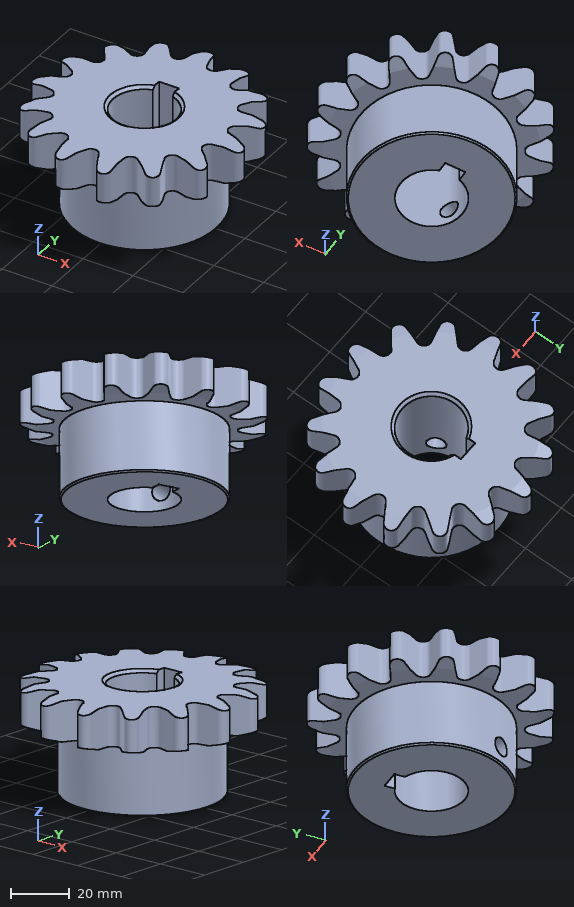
import cadquery as cq
import math

TOOTH_COUNT = 15
TIP_ROUND_RADIUS = 2.7
ROOT_ROUND_RADIUS = 2.7
OVERALL_WIDTH = 84.6
ROOT_RADIUS = 31.8
RIM_THICKNESS = 14.55
TIP_BEVEL_START_RADIUS = 37.1
TIP_BEVEL_DROP = 1.4

TOTAL_HEIGHT = 40.0
HUB_DIAMETER = 58.0
HUB_CHAMFER = 0.6

BORE_DIAMETER = 25.0
BORE_CHAMFER = 1.2
KEYWAY_WIDTH = 7.95
KEYWAY_REACH = 15.8

SCREW_HOLE_DIAMETER = 7.0
SCREW_HOLE_HEIGHT = 7.0
SCREW_HOLE_ANGLE = 210

FIRST_TOOTH_ANGLE = 90
TOOTH_PITCH_ANGLE = 360 / TOOTH_COUNT
RIM_BOTTOM = TOTAL_HEIGHT - RIM_THICKNESS
WIDEST_TOOTH_OFFSET = math.radians(TOOTH_PITCH_ANGLE / 4)
TIP_CENTER_RADIUS = (OVERALL_WIDTH / 2 - TIP_ROUND_RADIUS) / math.cos(WIDEST_TOOTH_OFFSET)
TIP_RADIUS = TIP_CENTER_RADIUS + TIP_ROUND_RADIUS
ROOT_CENTER_RADIUS = ROOT_RADIUS + ROOT_ROUND_RADIUS


def polar(radius, angle):
    """Point at a radius and an angle in degrees."""
    return (radius * math.cos(math.radians(angle)), radius * math.sin(math.radians(angle)))


def flank_ends():
    """Ends of the straight flank, for a tooth centred on +X and the gap on its +Y side.

    The flank is the crossing tangent of the tip circle and the root circle.
    """
    tip_x = TIP_CENTER_RADIUS
    root_x, root_y = polar(ROOT_CENTER_RADIUS, TOOTH_PITCH_ANGLE / 2)
    center_distance = math.hypot(root_x - tip_x, root_y)
    center_line_angle = math.atan2(root_y, root_x - tip_x)
    normal = center_line_angle - math.acos((TIP_ROUND_RADIUS + ROOT_ROUND_RADIUS) / center_distance)
    normal_x = math.cos(normal)
    normal_y = math.sin(normal)
    tip_end = (tip_x + TIP_ROUND_RADIUS * normal_x, TIP_ROUND_RADIUS * normal_y)
    root_end = (root_x - ROOT_ROUND_RADIUS * normal_x, root_y - ROOT_ROUND_RADIUS * normal_y)
    return tip_end, root_end


def tooth_outline():
    """Closed outline of all teeth: tip arc, flank, root arc and flank for each tooth."""
    tip_end, root_end = flank_ends()
    tip_end_radius = math.hypot(*tip_end)
    tip_end_angle = math.degrees(math.atan2(tip_end[1], tip_end[0]))
    root_end_radius = math.hypot(*root_end)
    root_end_angle = math.degrees(math.atan2(root_end[1], root_end[0]))

    outline = cq.Workplane("XY").moveTo(*polar(tip_end_radius, FIRST_TOOTH_ANGLE - tip_end_angle))
    for index in range(TOOTH_COUNT):
        tooth = FIRST_TOOTH_ANGLE + index * TOOTH_PITCH_ANGLE
        gap = tooth + TOOTH_PITCH_ANGLE / 2
        next_tooth = tooth + TOOTH_PITCH_ANGLE
        outline = outline.threePointArc(
            polar(TIP_RADIUS, tooth), polar(tip_end_radius, tooth + tip_end_angle)
        )
        outline = outline.lineTo(*polar(root_end_radius, tooth + root_end_angle))
        outline = outline.threePointArc(
            polar(ROOT_RADIUS, gap), polar(root_end_radius, next_tooth - root_end_angle)
        )
        if index < TOOTH_COUNT - 1:
            outline = outline.lineTo(*polar(tip_end_radius, next_tooth - tip_end_angle))
    return outline.close()


def toothed_rim():
    """Toothed disc whose teeth are bevelled by a cone on both faces."""
    teeth = tooth_outline().extrude(RIM_THICKNESS)
    bevelled_disc = (
        cq.Workplane("XZ")
        .polyline([
            (0, 0),
            (TIP_BEVEL_START_RADIUS, 0),
            (TIP_RADIUS, TIP_BEVEL_DROP),
            (TIP_RADIUS, RIM_THICKNESS - TIP_BEVEL_DROP),
            (TIP_BEVEL_START_RADIUS, RIM_THICKNESS),
            (0, RIM_THICKNESS),
        ])
        .close()
        .revolve(360, (0, 0, 0), (0, 1, 0))
    )
    return teeth.intersect(bevelled_disc).translate((0, 0, RIM_BOTTOM))


def hub():
    """Plain hub under the rim, chamfered at its free end and running up through the rim."""
    return cq.Workplane("XY").circle(HUB_DIAMETER / 2).extrude(TOTAL_HEIGHT).faces("<Z").chamfer(HUB_CHAMFER)


def bore():
    """Through bore, with a countersunk mouth on the rim face."""
    bore_radius = BORE_DIAMETER / 2
    return (
        cq.Workplane("XZ")
        .polyline([
            (0, 0),
            (bore_radius, 0),
            (bore_radius, TOTAL_HEIGHT - BORE_CHAMFER),
            (bore_radius + BORE_CHAMFER, TOTAL_HEIGHT),
            (0, TOTAL_HEIGHT),
        ])
        .close()
        .revolve(360, (0, 0, 0), (0, 1, 0))
    )


def keyway():
    """Keyway along the whole bore, on its +Y side."""
    return cq.Workplane("XY").box(KEYWAY_WIDTH, KEYWAY_REACH, TOTAL_HEIGHT, centered=(True, False, False))


def screw_hole():
    """Radial hole through one side of the hub wall into the bore."""
    return (
        cq.Workplane("YZ")
        .center(0, SCREW_HOLE_HEIGHT)
        .circle(SCREW_HOLE_DIAMETER / 2)
        .extrude(HUB_DIAMETER)
        .rotate((0, 0, 0), (0, 0, 1), SCREW_HOLE_ANGLE)
    )


result = toothed_rim().union(hub()).cut(bore()).cut(keyway()).cut(screw_hole())